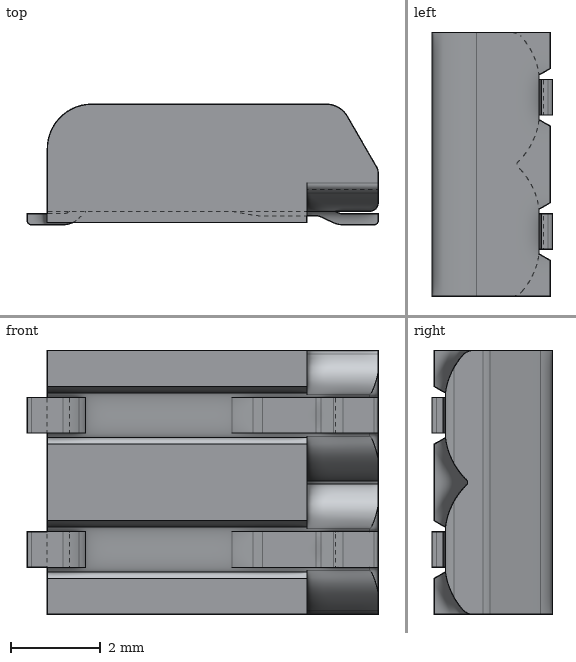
import cadquery as cq
import math


length = 7.4
depth = 2.65
height = 5.9
back_radius = 1.0
slope_angle = math.radians(60)
slope_end_y = 1.175
slope_top_radius = 0.55
slope_low_radius = 0.3

pole_pitch = 3.0
pole_centers = (-pole_pitch / 2, pole_pitch / 2)
groove_depth = 0.25
groove_floor_width = 1.0
groove_flank_angle = math.radians(30)

nose_x = 5.8
nose_edge_radius = 0.2
shoulder_y = 0.884
shoulder_radius = 0.353
lobe_flat_width = 0.94
lobe_radius = 1.6
lobe_outer_half = 1.365
lobe_outer_y = 0.66
lobe_inner_half = 1.465
lobe_inner_y = 0.745

pin_width = 0.8
pin_thickness = 0.25
pin_tip_radius = 0.1
pin_embed = 0.1
tab_y = -0.05
back_tab_x = -0.45
back_bend_x = 0.56
back_bend_angle = math.radians(45)
bend_radius = 0.5
front_root_x = 4.134
front_level_y = 0.15
front_root_angle = math.radians(10)
front_root_radius = 1.25
front_step_x = 6.065
front_step_angle = math.radians(25)


def plan_outline():
    """Housing outline in XY, extruded over the full height."""
    slope_top_x = length - (depth - slope_end_y) / math.tan(slope_angle)
    corners = [
        (0, 0),
        (nose_x, 0),
        (nose_x, groove_depth),
        (length, groove_depth),
        (length, slope_end_y),
        (slope_top_x, depth),
        (0, depth),
    ]
    solid = cq.Workplane("XY").polyline(corners).close().extrude(height / 2, both=True)
    rounded = (
        ((0, depth), back_radius),
        ((slope_top_x, depth), slope_top_radius),
        ((length, slope_end_y), slope_low_radius),
        ((length, groove_depth), nose_edge_radius),
    )
    return fillet_corners(solid, rounded)


def fillet_corners(solid, rounded):
    """Round the Z-parallel edges at the listed (x, y) corners."""
    for (x, y), radius in rounded:
        solid = solid.edges(cq.NearestToPointSelector((x, y, 0))).fillet(radius)
    return solid


def rear_section():
    """Grooved part of the housing, constant along X."""
    half_floor = groove_floor_width / 2
    half_mouth = half_floor + groove_depth * math.tan(groove_flank_angle)
    block = cq.Workplane("YZ").rect(2 * depth, height).extrude(nose_x)
    for center in pole_centers:
        groove = (
            cq.Workplane("YZ")
            .polyline([
                (0, center - half_mouth),
                (groove_depth, center - half_floor),
                (groove_depth, center + half_floor),
                (0, center + half_mouth),
            ])
            .close()
            .extrude(nose_x)
        )
        block = block.cut(groove)
    return block


def nose_section():
    """Lobed front part of the housing, constant along X."""
    lower, upper = pole_centers
    half_flat = lobe_flat_width / 2
    profile = (
        cq.Workplane("YZ", origin=(nose_x, 0, 0))
        .moveTo(depth, -height / 2)
        .lineTo(shoulder_y, -height / 2)
        .radiusArc((lobe_outer_y, lower - lobe_outer_half), shoulder_radius)
        .radiusArc((groove_depth, lower - half_flat), lobe_radius)
        .lineTo(groove_depth, lower + half_flat)
        .radiusArc((lobe_inner_y, lower + lobe_inner_half), lobe_radius)
        .lineTo(lobe_inner_y, upper - lobe_inner_half)
        .radiusArc((groove_depth, upper - half_flat), lobe_radius)
        .lineTo(groove_depth, upper + half_flat)
        .radiusArc((lobe_outer_y, upper + lobe_outer_half), lobe_radius)
        .radiusArc((shoulder_y, height / 2), shoulder_radius)
        .lineTo(depth, height / 2)
        .close()
    )
    return profile.extrude(length - nose_x)


def pin_solid(outer, inner):
    """Flat pin bounded by its outer and inner faces, given as (x, y) corners along X."""
    outline = outer + inner[::-1]
    return cq.Workplane("XY").polyline(outline).close().extrude(pin_width / 2, both=True)


def inner_shift(angle_before, angle_after):
    """X shift from an outer bend corner to its inner partner, for slopes dy/dx = tan(angle)."""
    return -pin_thickness * math.tan((angle_before + angle_after) / 2)


def back_pin():
    """Solder tab at the back that bends up into the groove floor."""
    root_y = groove_depth + pin_embed
    inner_y = tab_y + pin_thickness
    inner_bend_x = back_bend_x + inner_shift(0, back_bend_angle)
    slope = math.tan(back_bend_angle)
    outer = [
        (back_tab_x, tab_y),
        (back_bend_x, tab_y),
        (back_bend_x + (root_y - tab_y) / slope, root_y),
    ]
    inner = [
        (back_tab_x, inner_y),
        (inner_bend_x, inner_y),
        (inner_bend_x + (root_y - inner_y) / slope, root_y),
    ]
    rounded = (
        (outer[0], pin_tip_radius),
        (outer[1], bend_radius),
        (inner[1], bend_radius - pin_thickness),
    )
    return fillet_corners(pin_solid(outer, inner), rounded)


def front_pin():
    """Pin that emerges from the groove floor, runs level, then steps out to its solder tab."""
    root_slope = math.tan(front_root_angle)
    level_x = front_root_x + (groove_depth - front_level_y) / root_slope
    tab_x = front_step_x + (front_level_y - tab_y) / math.tan(front_step_angle)
    root_shift = inner_shift(-front_root_angle, 0)
    step_shift = inner_shift(0, -front_step_angle)
    outer = [
        (front_root_x - pin_embed / root_slope, groove_depth + pin_embed),
        (level_x, front_level_y),
        (front_step_x, front_level_y),
        (tab_x, tab_y),
        (length, tab_y),
    ]
    inner_level_y = front_level_y + pin_thickness
    inner = [
        (outer[0][0], inner_level_y + (level_x + root_shift - outer[0][0]) * root_slope),
        (level_x + root_shift, inner_level_y),
        (front_step_x + step_shift, inner_level_y),
        (tab_x + step_shift, tab_y + pin_thickness),
        (length, tab_y + pin_thickness),
    ]
    inner_bend_radius = bend_radius - pin_thickness
    rounded = (
        (outer[1], front_root_radius),
        (outer[2], inner_bend_radius),
        (inner[2], bend_radius),
        (outer[3], bend_radius),
        (inner[3], inner_bend_radius),
        (outer[4], pin_tip_radius),
    )
    return fillet_corners(pin_solid(outer, inner), rounded)


result = rear_section().union(nose_section()).intersect(plan_outline())
for pole_center in pole_centers:
    for pin in (back_pin(), front_pin()):
        result = result.union(pin.translate((0, 0, pole_center)))